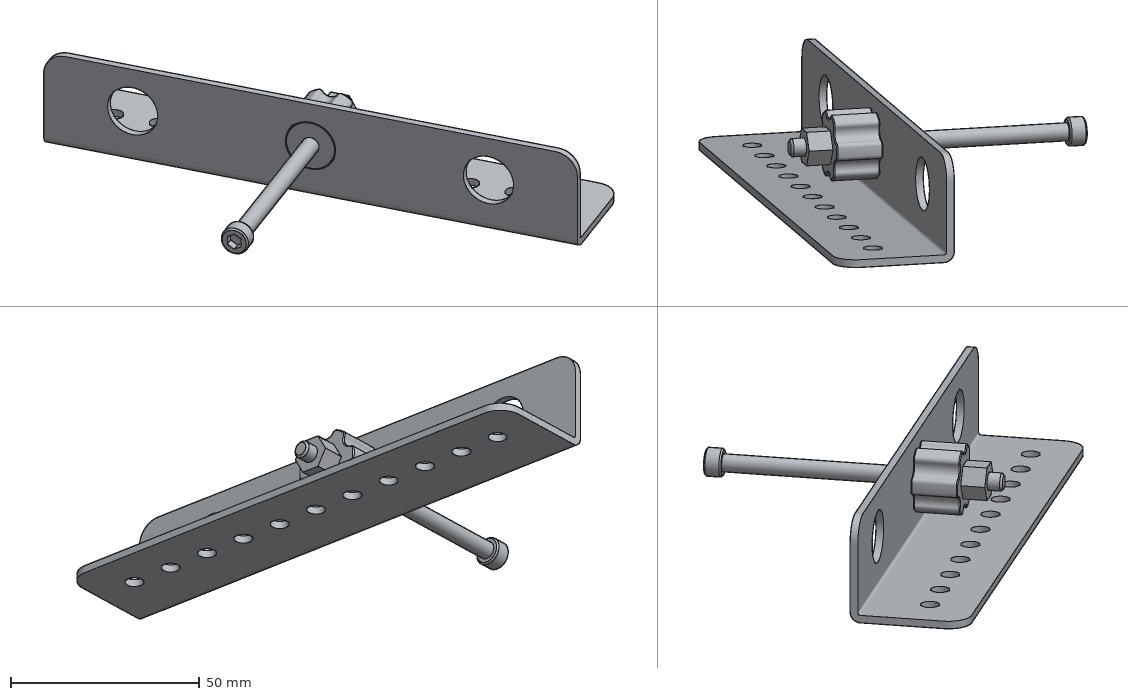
import cadquery as cq
import math


length = 152.4
floor_hole_count = 11
pitch = length / (floor_hole_count + 1)
floor_depth = 2.5 * pitch
wall_height = 28.5
sheet = 2.1
inner_bend_radius = 0.8
outer_bend_radius = inner_bend_radius + sheet
corner_radius = pitch / 2
floor_hole_diameter = 5.0
wall_hole_diameter = 14.3
wall_hole_count = 3
wall_hole_spacing = 4 * pitch
hole_edge_distance = pitch
axis_height = wall_height - hole_edge_distance

bolt_diameter = 4.9
shank_length = 76.2
bolt_tip_y = 2 * pitch
head_y = bolt_tip_y - shank_length
head_diameter = 7.8
head_height = 4.7
head_end_y = head_y - head_height
head_chamfer = 0.5
tip_chamfer = 0.6
socket_across_flats = 4.0
socket_depth = 2.5
socket_turn = 30

knob_diameter = 19.0
knob_length = pitch
knob_end_y = sheet + knob_length
knob_chamfer = 0.3
spigot_diameter = 13.7
flute_count = 6
first_flute_angle = 90
flute_radius = 2.6
flute_center_radius = 9.9
flute_edge_fillet = 1.2

nut_across_flats = 9.1
nut_thickness = 6.5
nut_end_y = knob_end_y + nut_thickness


def axis_plane(y):
    """Plane across the bolt axis at the given Y, with its normal toward +Y and local x along +X."""
    return cq.Plane(origin=(0, y, axis_height), xDir=(1, 0, 0), normal=(0, 1, 0))


def hexagon_bar(across_flats, start_y, end_y, turn=0):
    """Hexagonal bar on the bolt axis, with corners toward +X and -X before it is turned (degrees)."""
    across_corners = across_flats / math.cos(math.pi / 6)
    return (
        cq.Workplane(axis_plane(start_y))
        .transformed(rotate=(0, 0, turn))
        .polygon(6, across_corners)
        .extrude(end_y - start_y)
    )


def rod(diameter, start_y, end_y):
    """Round bar on the bolt axis."""
    return cq.Workplane(axis_plane(start_y)).circle(diameter / 2).extrude(end_y - start_y)


def make_bracket():
    angle = (
        cq.Workplane("YZ")
        .rect(floor_depth, wall_height, centered=False)
        .extrude(length / 2, both=True)
    )
    inside = (
        cq.Workplane("YZ")
        .moveTo(sheet, sheet)
        .rect(floor_depth, wall_height, centered=False)
        .extrude(length / 2, both=True)
        .edges("|X and <Y and <Z")
        .fillet(inner_bend_radius)
    )
    angle = angle.edges("|X and <Y and <Z").fillet(outer_bend_radius).cut(inside)
    angle = angle.edges("|Z and >Y").fillet(corner_radius)
    angle = angle.edges("|Y and >Z").fillet(corner_radius)

    floor_holes = (
        cq.Workplane("XY")
        .center(0, floor_depth - hole_edge_distance)
        .rarray(pitch, 1.5, floor_hole_count, 1)
        .circle(floor_hole_diameter / 2)
        .extrude(sheet)
    )
    wall_holes = (
        cq.Workplane(axis_plane(0))
        .rarray(wall_hole_spacing, 1.5, wall_hole_count, 1)
        .circle(wall_hole_diameter / 2)
        .extrude(sheet)
    )
    return angle.cut(floor_holes).cut(wall_holes)


def make_knob():
    flutes = (
        cq.Workplane(axis_plane(sheet))
        .polarArray(flute_center_radius, first_flute_angle, 360, flute_count)
        .circle(flute_radius)
        .extrude(knob_length)
    )
    grip = rod(knob_diameter, sheet, knob_end_y).cut(flutes)
    grip = grip.edges("|Y").fillet(flute_edge_fillet)
    grip = grip.faces("<Y or >Y").chamfer(knob_chamfer)
    spigot = rod(spigot_diameter, 0, sheet)
    bore = rod(bolt_diameter, 0, knob_end_y)
    return grip.union(spigot).cut(bore)


def make_bolt():
    shank = rod(bolt_diameter, head_y, bolt_tip_y).faces(">Y").chamfer(tip_chamfer)
    head = rod(head_diameter, head_end_y, head_y).faces("<Y or >Y").chamfer(head_chamfer)
    socket = hexagon_bar(socket_across_flats, head_end_y, head_end_y + socket_depth, socket_turn)
    return head.union(shank).cut(socket)


def make_nut():
    body = hexagon_bar(nut_across_flats, knob_end_y, nut_end_y)
    bore = rod(bolt_diameter, knob_end_y, nut_end_y)
    return body.cut(bore)


bracket = make_bracket()
knob = make_knob()
bolt = make_bolt()
nut = make_nut()

result = cq.Compound.makeCompound([bracket.val(), knob.val(), bolt.val(), nut.val()])